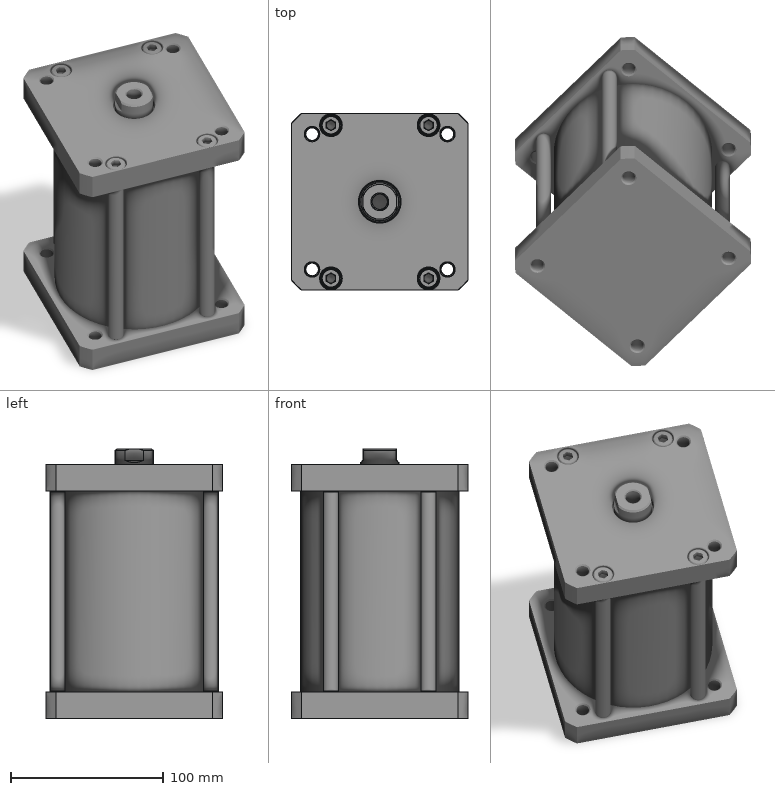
import cadquery as cq
import math

total_height = 177.0
plate_side = 116.0
plate_corner_diameter = 155.0
plate_thickness = 17.5
rod_projection = 10.1

top_plate_top = total_height - rod_projection
top_plate_bottom = top_plate_top - plate_thickness

barrel_diameter = 104.0

mount_hole_offset = 44.5
mount_hole_diameter = 8.3
mount_hole_mouth_diameter = 10.1

rod_diameter = 25.0
rod_chamfer = 1.0
rod_flat_width = 22.0
rod_flat_height = 7.5
rod_socket_diameter = 10.1
rod_socket_mouth_diameter = 11.7
rod_socket_depth = 15.0
rod_clearance_diameter = 26.9
rod_clearance_depth = 5.0
rod_bore_mouth_diameter = 28.0
rod_bore_mouth_depth = 0.5

tie_x = 32.0
tie_y = 50.3
tie_diameter = 10.0
tie_shank_diameter = 6.0
tie_end_chamfer = 0.7
head_diameter = 13.0
head_chamfer = 0.7
head_height = 6.0
head_recess = 0.5
head_pocket_diameter = 14.0
head_pocket_mouth_diameter = 14.9
hex_across_flats = 6.2
hex_depth = 4.0

hex_point_angle = 118.0
rod_socket_point_angle = 165.0

head_top = top_plate_top - head_recess
head_seat = head_top - head_height


def corner_points(x, y):
    """Four points placed symmetrically about the Z axis."""
    return [(sx * x, sy * y) for sx in (-1, 1) for sy in (-1, 1)]


def cylinder(diameter, z_bottom, z_top):
    return cq.Workplane("XY").workplane(offset=z_bottom).circle(diameter / 2).extrude(z_top - z_bottom)


def cone(bottom_diameter, top_diameter, z_bottom, z_top):
    """Cone or cone frustum on the Z axis; a zero diameter gives a point."""
    height = z_top - z_bottom
    solid = cq.Solid.makeCone(bottom_diameter / 2, top_diameter / 2, height, cq.Vector(0, 0, z_bottom))
    return cq.Workplane(solid)


def drill_point_length(diameter, angle):
    """Height of a conical hole bottom with the given included angle."""
    return diameter / 2 / math.tan(math.radians(angle / 2))


def make_plate(z_bottom):
    """Square plate with turned corners and four through holes, chamfered at both faces."""
    z_top = z_bottom + plate_thickness
    mouth_depth = (mount_hole_mouth_diameter - mount_hole_diameter) / 2
    plate = (
        cq.Workplane("XY")
        .workplane(offset=z_bottom)
        .rect(plate_side, plate_side)
        .extrude(plate_thickness)
        .intersect(cylinder(plate_corner_diameter, z_bottom, z_top))
    )
    hole = (
        cylinder(mount_hole_diameter, z_bottom, z_top)
        .union(cone(mount_hole_mouth_diameter, mount_hole_diameter, z_bottom, z_bottom + mouth_depth))
        .union(cone(mount_hole_diameter, mount_hole_mouth_diameter, z_top - mouth_depth, z_top))
    )
    for x, y in corner_points(mount_hole_offset, mount_hole_offset):
        plate = plate.cut(hole.translate((x, y, 0)))
    return plate


def make_top_plate():
    """Plate with the stepped rod bore and the stepped holes for the tie rod heads."""
    rod_mouth_bottom = top_plate_top - rod_bore_mouth_depth
    rod_bore = (
        cylinder(rod_diameter, top_plate_bottom, top_plate_top)
        .union(cylinder(rod_clearance_diameter, top_plate_top - rod_clearance_depth, top_plate_top))
        .union(cone(rod_clearance_diameter, rod_bore_mouth_diameter, rod_mouth_bottom, top_plate_top))
    )
    pocket_mouth_bottom = top_plate_top - (head_pocket_mouth_diameter - head_pocket_diameter) / 2
    tie_hole = (
        cylinder(tie_shank_diameter, top_plate_bottom, head_seat)
        .union(cylinder(head_pocket_diameter, head_seat, top_plate_top))
        .union(cone(head_pocket_diameter, head_pocket_mouth_diameter, pocket_mouth_bottom, top_plate_top))
    )
    plate = make_plate(top_plate_bottom).cut(rod_bore)
    for x, y in corner_points(tie_x, tie_y):
        plate = plate.cut(tie_hole.translate((x, y, 0)))
    return plate


def make_piston_rod():
    """Rod end with two wrench flats and a blind axial hole."""
    rod = cylinder(rod_diameter, top_plate_bottom, total_height).faces(">Z").chamfer(rod_chamfer)

    flat_x = rod_flat_width / 2
    edge_x = rod_diameter / 2
    flat_bottom = total_height - rod_flat_height
    flat_cut = (
        cq.Workplane("XZ")
        .polyline([
            (flat_x, total_height),
            (flat_x, flat_bottom),
            (edge_x, flat_bottom - (edge_x - flat_x)),
            (edge_x, total_height),
        ])
        .close()
        .extrude(rod_diameter / 2, both=True)
    )
    rod = rod.cut(flat_cut).cut(flat_cut.mirror("YZ"))

    socket_bottom = total_height - rod_socket_depth
    mouth_depth = (rod_socket_mouth_diameter - rod_socket_diameter) / 2
    point = drill_point_length(rod_socket_diameter, rod_socket_point_angle)
    socket = (
        cylinder(rod_socket_diameter, socket_bottom, total_height)
        .union(cone(0, rod_socket_diameter, socket_bottom - point, socket_bottom))
        .union(cone(rod_socket_diameter, rod_socket_mouth_diameter, total_height - mouth_depth, total_height))
    )
    return rod.cut(socket)


def make_tie_rod(x, y):
    """Spacer rod between the plates, with a shank and a hexagon socket head in the top plate."""
    body = cylinder(tie_diameter, plate_thickness, top_plate_bottom).faces("<Z or >Z").chamfer(tie_end_chamfer)
    shank = cylinder(tie_shank_diameter, top_plate_bottom, head_seat)
    head = cylinder(head_diameter, head_seat, head_top).faces(">Z").chamfer(head_chamfer)

    hex_bottom = head_top - hex_depth
    hex_corner_diameter = hex_across_flats / math.cos(math.pi / 6)
    point = drill_point_length(hex_across_flats, hex_point_angle)
    hex_socket = (
        cq.Workplane("XY")
        .workplane(offset=hex_bottom)
        .transformed(rotate=(0, 0, 90))
        .polygon(6, hex_corner_diameter)
        .extrude(hex_depth)
        .union(cone(0, hex_across_flats, hex_bottom - point, hex_bottom))
    )
    return body.union(shank).union(head).cut(hex_socket).translate((x, y, 0))


base_plate = make_plate(0)
barrel = cylinder(barrel_diameter, plate_thickness, top_plate_bottom)
top_plate = make_top_plate()
piston_rod = make_piston_rod()
tie_rods = [make_tie_rod(x, y) for x, y in corner_points(tie_x, tie_y)]

result = cq.Compound.makeCompound([
    base_plate.val(),
    barrel.val(),
    top_plate.val(),
    piston_rod.val(),
    *[tie_rod.val() for tie_rod in tie_rods],
])